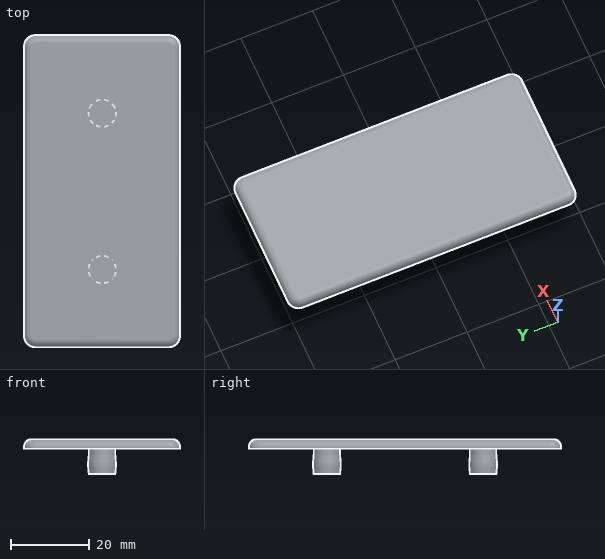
import cadquery as cq

plate_width = 40.0
plate_length = 80.0
plate_thickness = 2.5
corner_radius = 3.0
rim_radius = 2.0

peg_spacing = 40.0
peg_diameter = 6.85
bead_diameter = 7.2

neck_height = 1.5
taper_height = 2.0
bead_height = 1.0

bead_start_depth = neck_height + taper_height
bead_end_depth = bead_start_depth + bead_height
peg_length = bead_end_depth + taper_height


def make_plate():
    """Rectangular plate with its top edge rounded over."""
    return (
        cq.Workplane("XY")
        .rect(plate_width, plate_length)
        .extrude(plate_thickness)
        .edges("|Z")
        .fillet(corner_radius)
        .faces(">Z")
        .edges()
        .fillet(rim_radius)
    )


def make_peg(center_y):
    """Peg with a straight neck that swells to a bead and tapers to its tip."""
    peg_radius = peg_diameter / 2
    bead_radius = bead_diameter / 2
    return (
        cq.Workplane("XZ")
        .lineTo(peg_radius, 0)
        .lineTo(peg_radius, -neck_height)
        .lineTo(bead_radius, -bead_start_depth)
        .lineTo(bead_radius, -bead_end_depth)
        .lineTo(peg_radius, -peg_length)
        .lineTo(0, -peg_length)
        .close()
        .revolve(360, (0, 0, 0), (0, 1, 0))
        .translate((0, center_y, 0))
    )


result = make_plate()
for side in (-1, 1):
    result = result.union(make_peg(side * peg_spacing / 2))